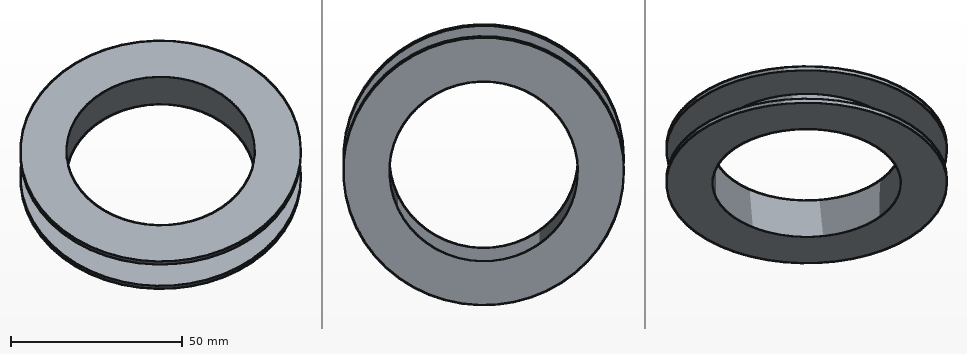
import cadquery as cq

flange_diameter = 82.0
hub_diameter = 58.0
bore_diameter = 55.0
overall_height = 13.0
flange_thickness = 1.5

hub_height = overall_height - 2 * flange_thickness


def ring(outer_diameter, height, base_z):
    """Flat ring around the Z axis, open through the common bore."""
    return (
        cq.Workplane("XY")
        .workplane(offset=base_z)
        .circle(outer_diameter / 2)
        .circle(bore_diameter / 2)
        .extrude(height)
    )


lower_flange = ring(flange_diameter, flange_thickness, 0)
hub = ring(hub_diameter, hub_height, flange_thickness)
upper_flange = ring(flange_diameter, flange_thickness, flange_thickness + hub_height)

result = lower_flange.union(hub).union(upper_flange)